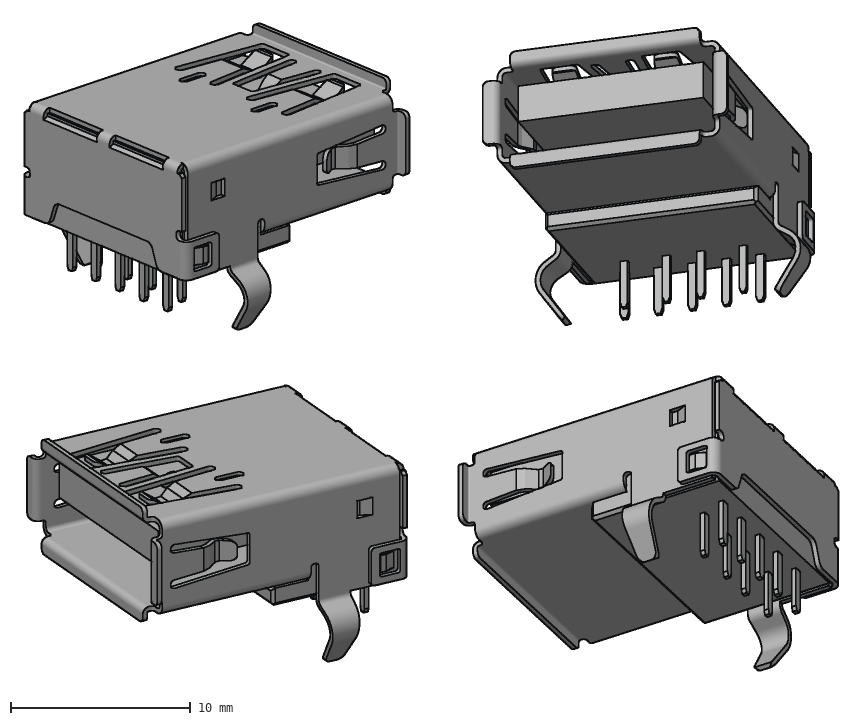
import cadquery as cq
import math

LENGTH = 16.5
SHEET = 0.3
HALF_WIDTH = 6.55
SHELL_BOTTOM = 1.17
SHELL_TOP = 6.91
SHELL_MID = (SHELL_BOTTOM + SHELL_TOP) / 2
CORNER_RADIUS = 0.55
BEND_INNER = 0.16
BEND_OUTER = BEND_INNER + SHEET
INNER_HALF_WIDTH = HALF_WIDTH - SHEET
INNER_TOP = SHELL_TOP - SHEET

WALL_REAR = BEND_OUTER
LEG_FRONT = 5.71
RELIEF_WIDTH = 0.5
RELIEF_TOP = 2.18
RELIEF_CORNER = 0.21
TUBE_REAR = LEG_FRONT + RELIEF_WIDTH
MOUTH_EDGE = 15.8

LIP_HEIGHT = 0.63
LIP_CORNER = 0.33
LIP_BEND_INNER = 0.1
LIP_BEND_OUTER = LIP_BEND_INNER + SHEET
LIP_ROOT_FILLET = 0.2
WIDE_LIP = 11.15
SIDE_LIP = 3.8

COVER_BOTTOM = 0.13
COVER_BEND_WIDTH = 12.35
VENT_INNER = 0.53
VENT_OUTER = 4.97
VENT_BOTTOM = 6.3
VENT_SLOPE_RISE = 0.15
COVER_CORNER = 0.2
NOTCH_BOTTOM_WIDTH = 9.08
NOTCH_TOP_WIDTH = 7.99
NOTCH_TOP = 1.62
NOTCH_FILLET = 0.5

EAR_CLEARANCE = 0.03
EAR_INNER = HALF_WIDTH + EAR_CLEARANCE
EAR_OUTER = EAR_INNER + SHEET
EAR_TOP = 2.45
EAR_LENGTH = 2.5
EAR_CORNER = 0.23
EAR_BEND_INNER = 0.23
EAR_BEND_OUTER = EAR_BEND_INNER + SHEET
EAR_BEND_START = EAR_OUTER - EAR_BEND_OUTER
EAR_WINDOW_Y = 1.29
EAR_WINDOW_Z = 1.3
EAR_WINDOW_LENGTH = 1.32
EAR_WINDOW_HEIGHT = 1.45
EAR_WINDOW_CORNER = 0.16
LATCH_REAR = 0.85
LATCH_CREST = 1.45
LATCH_FRONT = 1.83
LATCH_HEIGHT = 1.02
LATCH_RISE = 0.2
EAR_RELIEF_TOP = 3.04
EAR_RELIEF_INNER = 6.09
EAR_RELIEF_CORNER = 0.26

LEG_REAR = 3.65
LEG_NECK = 0.41
LEG_TIP_WIDTH = 1.12
LEG_TIP_Z = -4.08
LEG_TIP_FILLET = 0.41
LEG_START = -0.07
LEG_FLARE_ANGLE = 58.0
LEG_RETURN_ANGLE = 35.0
LEG_FLARE_RADIUS = 0.46
LEG_FLARE_LENGTH = 0.61
LEG_BOW_RADIUS = 1.09

FOOT_FRONT = 8.53
FOOT_TOP = 1.1
HOUSING_CHAMFER = 0.2
TONGUE_HALF_WIDTH = 5.45
TONGUE_BOTTOM = 3.73
TONGUE_TOP = 5.87
TONGUE_FRONT = 15.43

PIN_THICKNESS = 0.28
PIN_TIP_Z = -2.77
PIN_TOP_Z = 0.33
PIN_TIP_CHAMFER = 0.1
PIN_TIP_TAPER = 0.26
REAR_PINS = (1.25, 0.48, (-4.0, -2.0, 0, 2.0, 4.0))
FRONT_PINS = (2.75, 0.43, (-3.5, -1.0, 1.0, 3.5))

WINDOW_CORNER = 0.16
GROOVE_X = 2.99
GROOVE_Y = 9.39
GROOVE_LENGTH = 1.78
GROOVE_WIDTH = 0.55
GROOVE_DEPTH = 0.2
POCKET_REAR = 2.21
POCKET_FLOOR = 2.87
POCKET_FRONT = 3.22
POCKET_Z = 4.85
POCKET_HEIGHT = 1.05


def box(x0, x1, y0, y1, z0, z1):
    return cq.Workplane("XY").box(x1 - x0, y1 - y0, z1 - z0, centered=False).translate((x0, y0, z0))


def both_sides(solid):
    """A solid together with its mirror image across X = 0."""
    return solid.union(solid.mirror("YZ"))


def tube(half_width, bottom, top, radius, length):
    section = box(-half_width, half_width, 0, length, bottom, top)
    return section.edges("|Y").fillet(radius)


def make_shell():
    inner_radius = CORNER_RADIUS - SHEET
    outer = tube(HALF_WIDTH, SHELL_BOTTOM, SHELL_TOP, CORNER_RADIUS, MOUTH_EDGE)
    inner = tube(INNER_HALF_WIDTH, SHELL_BOTTOM + SHEET, INNER_TOP, inner_radius, MOUTH_EDGE)
    ring = outer.cut(inner)
    rear = box(-HALF_WIDTH, HALF_WIDTH, 0, TUBE_REAR, -0.16, SHELL_MID)
    walls = box(INNER_HALF_WIDTH, HALF_WIDTH, WALL_REAR, TUBE_REAR, 0, SHELL_MID)
    behind = box(-HALF_WIDTH, HALF_WIDTH, 0, WALL_REAR, 0, SHELL_TOP)
    relief = box(INNER_HALF_WIDTH - 0.16, HALF_WIDTH + 0.16, LEG_FRONT, TUBE_REAR, -0.16, RELIEF_TOP)
    relief = relief.edges("|X and >Z").fillet(RELIEF_CORNER)
    return ring.cut(rear).cut(behind).union(both_sides(walls)).cut(both_sides(relief))


def lip_root_fillet(edge_x, side):
    """Concave fillet between a lip's side edge and the mouth edge."""
    far_x = edge_x + side * LIP_ROOT_FILLET
    far_y = MOUTH_EDGE + LIP_ROOT_FILLET
    return (
        cq.Workplane("XY", origin=(0, 0, -SHEET))
        .moveTo(edge_x, MOUTH_EDGE)
        .lineTo(edge_x, far_y)
        .radiusArc((far_x, MOUTH_EDGE), -side * LIP_ROOT_FILLET)
        .close()
        .extrude(SHEET)
    )


def make_lip(width, wall_distance, angle):
    """A lip turned outward from the wall at wall_distance from the shell axis."""
    bend_y = LENGTH - LIP_BEND_OUTER
    diagonal = math.sqrt(0.5)
    profile = (
        cq.Workplane("YZ")
        .moveTo(MOUTH_EDGE, 0)
        .lineTo(bend_y, 0)
        .threePointArc(
            (bend_y + LIP_BEND_INNER * diagonal, LIP_BEND_INNER * (1 - diagonal)),
            (bend_y + LIP_BEND_INNER, LIP_BEND_INNER),
        )
        .lineTo(LENGTH - SHEET, LIP_HEIGHT)
        .lineTo(LENGTH, LIP_HEIGHT)
        .lineTo(LENGTH, LIP_BEND_INNER)
        .threePointArc(
            (bend_y + LIP_BEND_OUTER * diagonal, LIP_BEND_INNER - LIP_BEND_OUTER * diagonal),
            (bend_y, -SHEET),
        )
        .lineTo(MOUTH_EDGE, -SHEET)
        .close()
    )
    lip = profile.extrude(width / 2, both=True).edges("|Y and >Z").fillet(LIP_CORNER)
    for side in (-1, 1):
        lip = lip.union(lip_root_fillet(side * width / 2, side))
    lip = lip.translate((0, 0, wall_distance)).rotate((0, 0, 0), (0, 1, 0), angle)
    return lip.translate((0, 0, SHELL_MID))


def make_lips():
    half_height = SHELL_TOP - SHELL_MID
    lips = make_lip(WIDE_LIP, half_height, 0).union(make_lip(WIDE_LIP, half_height, 180))
    return lips.union(both_sides(make_lip(SIDE_LIP, HALF_WIDTH, 90)))


def trapezoid(root_half, tip_half, length, reach):
    """Block narrowing from root_half at x = 0 to tip_half at x = length, reach deep each way."""
    corners = [(0, -root_half), (length, -tip_half), (length, tip_half), (0, root_half)]
    return cq.Workplane("XY").polyline(corners).close().extrude(reach, both=True)


def make_spring(window, tongue, tip_radius, bends):
    """Window cutter and bent tongue end, running along +X with the sheet's outer face at z = 0.

    window and tongue are (root half width, tip half width, length). bends are the (x, z)
    points of the tongue's mid-line beyond its flat root, the first being where it leaves the sheet.
    """
    reach = 1.65
    bend_x, bend_z = bends[0]
    leg_width = window[0] - tongue[0]
    leg_middle = (window[0] + tongue[0]) / 2
    opening = trapezoid(*window, reach).edges("|Z and >X").fillet(WINDOW_CORNER)
    flat_root = box(0, bend_x, -tongue[0], tongue[0], -reach, reach)
    opening = opening.cut(trapezoid(*tongue, reach).intersect(flat_root))
    for side in (-1, 1):
        leg_end = cq.Workplane("XY").workplane(offset=-reach).center(0, side * leg_middle)
        opening = opening.union(leg_end.circle(leg_width / 2).extrude(2 * reach))
    path = cq.Workplane("XZ").polyline(bends)
    strip = (
        cq.Workplane("YZ", origin=(bend_x, 0, bend_z))
        .rect(2 * window[0], SHEET)
        .sweep(path, transition="right")
    )
    outline = trapezoid(*tongue, reach).edges("|Z and >X").fillet(tip_radius)
    return opening, strip.intersect(outline)


def place_top(solid, x, root_y, toward_mouth):
    turn = 90 if toward_mouth else -90
    return solid.rotate((0, 0, 0), (0, 0, 1), turn).translate((x, root_y, SHELL_TOP))


def place_side(solid, root_y):
    """Stand a spring on the +X wall with its tip pointing to the rear."""
    turned = solid.rotate((0, 0, 0), (0, 0, 1), -90).rotate((0, 0, 0), (0, 1, 0), 90)
    return turned.translate((HALF_WIDTH, root_y, SHELL_MID))


SHEET_MIDDLE = -SHEET / 2
OUTER_SPRING = make_spring(
    (1.75, 1.12, 5.87), (1.19, 0.68, 5.16), 0.33,
    [(2.59, SHEET_MIDDLE), (3.05, -0.36), (3.5, -0.8), (4.0, -0.82), (4.95, -0.13), (5.28, -0.12)],
)
OUTER_SPRING_X = 2.99
OUTER_SPRING_ROOT = 9.77
MIDDLE_SPRING = make_spring(
    (1.27, 0.82, 4.62), (0.78, 0.41, 4.05), 0.36,
    [(2.2, SHEET_MIDDLE), (2.52, -0.4), (2.97, -0.92), (3.38, -0.95), (4.12, -0.66)],
)
MIDDLE_SPRING_ROOT = 15.05
SIDE_SPRING = make_spring(
    (1.34, 0.95, 4.87), (0.82, 0.58, 4.1), 0.36,
    [(1.88, SHEET_MIDDLE), (2.3, -0.3), (2.92, -0.76), (3.3, -0.76), (4.2, -0.15)],
)
SIDE_SPRING_ROOT = 15.02


def add_springs(shell):
    openings = both_sides(place_top(OUTER_SPRING[0], OUTER_SPRING_X, OUTER_SPRING_ROOT, True))
    openings = openings.union(place_top(MIDDLE_SPRING[0], 0, MIDDLE_SPRING_ROOT, False))
    openings = openings.union(both_sides(place_side(SIDE_SPRING[0], SIDE_SPRING_ROOT)))
    tongues = both_sides(place_top(OUTER_SPRING[1], OUTER_SPRING_X, OUTER_SPRING_ROOT, True))
    tongues = tongues.union(place_top(MIDDLE_SPRING[1], 0, MIDDLE_SPRING_ROOT, False))
    tongues = tongues.union(both_sides(place_side(SIDE_SPRING[1], SIDE_SPRING_ROOT)))
    return shell.cut(openings).union(tongues)


def make_cover():
    plate = box(-HALF_WIDTH, HALF_WIDTH, 0, SHEET, COVER_BOTTOM, SHELL_TOP - BEND_OUTER)
    plate = plate.edges("|Y and >Z").chamfer(COVER_CORNER)
    ear_gap = both_sides(box(EAR_BEND_START, HALF_WIDTH, 0, SHEET, COVER_BOTTOM, EAR_TOP))
    fold = (
        cq.Workplane("YZ", origin=(-COVER_BEND_WIDTH / 2, 0, 0))
        .moveTo(BEND_OUTER, SHELL_TOP)
        .radiusArc((0, SHELL_TOP - BEND_OUTER), -BEND_OUTER)
        .lineTo(SHEET, SHELL_TOP - BEND_OUTER)
        .radiusArc((BEND_OUTER, INNER_TOP), BEND_INNER)
        .close()
        .extrude(COVER_BEND_WIDTH)
    )
    slope_top = VENT_BOTTOM + VENT_SLOPE_RISE
    vent = (
        cq.Workplane("YZ", origin=(VENT_INNER, 0, 0))
        .polyline([
            (0, VENT_BOTTOM), (SHEET, slope_top), (BEND_OUTER, slope_top),
            (BEND_OUTER, SHELL_TOP), (0, SHELL_TOP),
        ])
        .close()
        .extrude(VENT_OUTER - VENT_INNER)
    )
    notch = (
        cq.Workplane("XZ", origin=(0, SHEET + 0.16, 0))
        .moveTo(-NOTCH_BOTTOM_WIDTH / 2, COVER_BOTTOM)
        .lineTo(-NOTCH_TOP_WIDTH / 2, NOTCH_TOP)
        .lineTo(NOTCH_TOP_WIDTH / 2, NOTCH_TOP)
        .lineTo(NOTCH_BOTTOM_WIDTH / 2, COVER_BOTTOM)
        .close()
        .extrude(SHEET + 0.33)
        .edges("|Y and >Z")
        .fillet(NOTCH_FILLET)
    )
    cover = plate.cut(ear_gap).union(fold).cut(both_sides(vent)).cut(notch)
    foot_half = NOTCH_BOTTOM_WIDTH / 2
    notch_feet = cq.selectors.BoxSelector(
        (-foot_half - 0.16, -0.16, COVER_BOTTOM - 0.16), (foot_half + 0.16, SHEET + 0.16, COVER_BOTTOM + 0.16)
    )
    return cover.edges(notch_feet).edges("|Y").fillet(NOTCH_FILLET)


def make_ear():
    ear_height = EAR_TOP - COVER_BOTTOM
    outline = (
        cq.Workplane("XY", origin=(0, 0, COVER_BOTTOM))
        .moveTo(EAR_BEND_START, 0)
        .radiusArc((EAR_OUTER, EAR_BEND_OUTER), -EAR_BEND_OUTER)
        .lineTo(EAR_OUTER, EAR_LENGTH)
        .lineTo(EAR_INNER, EAR_LENGTH)
        .lineTo(EAR_INNER, EAR_BEND_OUTER)
        .radiusArc((EAR_INNER - EAR_BEND_INNER, SHEET), EAR_BEND_INNER)
        .close()
    )
    ear = outline.extrude(ear_height).edges("|X and >Y").fillet(EAR_CORNER)
    window = (
        cq.Workplane("YZ", origin=(HALF_WIDTH, EAR_WINDOW_Y, EAR_WINDOW_Z))
        .rect(EAR_WINDOW_LENGTH, EAR_WINDOW_HEIGHT)
        .extrude(2 * SHEET)
        .edges("|X")
        .fillet(EAR_WINDOW_CORNER)
    )
    return ear.cut(window)


def make_latch():
    """Ramped catch on the side wall, standing in the ear window."""
    crest = HALF_WIDTH + LATCH_RISE
    return (
        cq.Workplane("XY", origin=(0, 0, EAR_WINDOW_Z))
        .polyline([
            (HALF_WIDTH - 0.16, LATCH_REAR), (HALF_WIDTH, LATCH_REAR), (crest, LATCH_CREST),
            (crest, LATCH_FRONT), (HALF_WIDTH - 0.16, LATCH_FRONT),
        ])
        .close()
        .extrude(LATCH_HEIGHT / 2, both=True)
    )


def make_ear_relief():
    relief = box(EAR_RELIEF_INNER, HALF_WIDTH + 0.16, -0.16, SHEET, EAR_TOP, EAR_RELIEF_TOP)
    return relief.edges("|Y and <X").fillet(EAR_RELIEF_CORNER)


def make_leg():
    flare = math.radians(LEG_FLARE_ANGLE)
    back = math.radians(LEG_RETURN_ANGLE)
    wall_x = HALF_WIDTH - SHEET / 2

    def on_flare(angle):
        drop = LEG_FLARE_RADIUS * math.sin(angle)
        return (wall_x + LEG_FLARE_RADIUS * (1 - math.cos(angle)), LEG_START - drop)

    flare_x, flare_z = on_flare(flare)
    bow_x = flare_x + LEG_FLARE_LENGTH * math.sin(flare) - LEG_BOW_RADIUS * math.cos(flare)
    bow_z = flare_z - LEG_FLARE_LENGTH * math.cos(flare) - LEG_BOW_RADIUS * math.sin(flare)

    def on_bow(angle):
        return (bow_x + LEG_BOW_RADIUS * math.cos(angle), bow_z + LEG_BOW_RADIUS * math.sin(angle))

    bow_end = on_bow(-back)
    tip_center_z = LEG_TIP_Z + SHEET / 2 * math.sin(back)
    tip = (bow_end[0] - (bow_end[1] - tip_center_z) * math.tan(back), tip_center_z)
    path = (
        cq.Workplane("XZ")
        .moveTo(wall_x, 0)
        .lineTo(wall_x, LEG_START)
        .threePointArc(on_flare(flare / 2), (flare_x, flare_z))
        .lineTo(*on_bow(flare))
        .threePointArc(on_bow(0), bow_end)
        .lineTo(*tip)
    )
    middle = (LEG_REAR + LEG_FRONT) / 2
    half = (LEG_FRONT - LEG_REAR) / 2
    strip = cq.Workplane("XY", origin=(wall_x, 0, 0)).rect(SHEET, 2 * half).sweep(path)
    taper = (
        cq.Workplane("YZ")
        .polyline([
            (-half, 0), (-half, -LEG_NECK), (-LEG_TIP_WIDTH / 2, LEG_TIP_Z),
            (LEG_TIP_WIDTH / 2, LEG_TIP_Z), (half, -LEG_NECK), (half, 0),
        ])
        .close()
        .extrude(EAR_OUTER + LEG_BOW_RADIUS)
        .edges("|X and <Z")
        .fillet(LEG_TIP_FILLET)
    )
    return strip.intersect(taper).translate((0, middle, 0))


def make_housing():
    foot = box(-INNER_HALF_WIDTH, INNER_HALF_WIDTH, SHEET, FOOT_FRONT, 0, FOOT_TOP)
    foot = foot.faces(">Y").edges().chamfer(HOUSING_CHAMFER)
    foot = foot.faces("<Z").edges("|Y").chamfer(HOUSING_CHAMFER)
    core = box(-INNER_HALF_WIDTH, INNER_HALF_WIDTH, SHEET, TUBE_REAR, HOUSING_CHAMFER, INNER_TOP)
    core = core.edges("|Y and >Z").fillet(CORNER_RADIUS - SHEET)
    tongue = box(-TONGUE_HALF_WIDTH, TONGUE_HALF_WIDTH, SHEET, TONGUE_FRONT, TONGUE_BOTTOM, TONGUE_TOP)
    return foot.union(core).union(tongue)


def make_pins(y, width, positions):
    blade = cq.Workplane("XY").box(width, PIN_THICKNESS, PIN_TOP_Z - PIN_TIP_Z)
    blade = blade.faces("<Z").edges("|Y").chamfer(PIN_TIP_TAPER, PIN_TIP_CHAMFER)
    blade = blade.translate((0, y, (PIN_TOP_Z + PIN_TIP_Z) / 2))
    row = blade.translate((positions[0], 0, 0))
    for x in positions[1:]:
        row = row.union(blade.translate((x, 0, 0)))
    return row


def make_groove():
    return (
        cq.Workplane("XY", origin=(GROOVE_X, GROOVE_Y, SHELL_TOP - GROOVE_DEPTH))
        .slot2D(GROOVE_LENGTH, GROOVE_WIDTH, 90)
        .extrude(GROOVE_DEPTH + 0.16)
    )


def make_side_pocket():
    """Pocket in the side wall with a floor ramping out toward the rear."""
    return (
        cq.Workplane("XY", origin=(0, 0, POCKET_Z))
        .polyline([
            (HALF_WIDTH, POCKET_REAR), (INNER_HALF_WIDTH, POCKET_FLOOR),
            (INNER_HALF_WIDTH, POCKET_FRONT), (HALF_WIDTH, POCKET_FRONT),
        ])
        .close()
        .extrude(POCKET_HEIGHT / 2, both=True)
    )


shell = add_springs(make_shell().union(make_lips()))
shell = shell.cut(both_sides(make_groove().union(make_side_pocket())))
shell = shell.union(both_sides(make_leg().union(make_latch())))
cover = make_cover().union(both_sides(make_ear())).cut(both_sides(make_ear_relief()))
result = (
    shell.union(cover)
    .union(make_housing())
    .union(make_pins(*REAR_PINS))
    .union(make_pins(*FRONT_PINS))
)